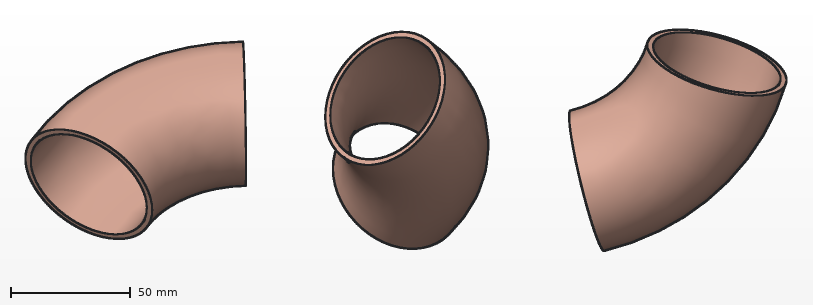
import cadquery as cq

outer_diameter = 60.3
wall = 2.6
bend_radius = 76.0
bend_angle = 60

outer_radius = outer_diameter / 2
inner_radius = outer_radius - wall


def bend(section):
    """Revolve a section, drawn around the origin, about the vertical bend axis on its +X side."""
    return section.revolve(bend_angle, (bend_radius, 0, 0), (bend_radius, -1, 0))


end_ring = cq.Workplane("XZ").circle(outer_radius).circle(inner_radius)
result = bend(end_ring)